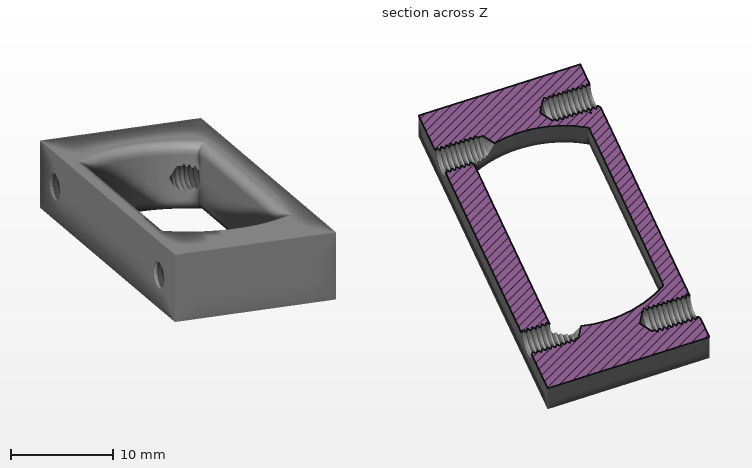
import cadquery as cq
import math

LENGTH = 35.0
WIDTH = 17.0
HEIGHT = 7.0

WINDOW_RADIUS = 12.0
WINDOW_FRONT_Y = -6.5
WINDOW_BACK_Y = 5.5
WINDOW_FILLET = 1.0

THREAD_MAJOR_RADIUS = 1.5
THREAD_MINOR_RADIUS = 2.52 / 2
THREAD_PITCH = 0.5
THREAD_ROOT_WIDTH = THREAD_PITCH / 8
THREAD_FLANK_ANGLE = 30.0
THREAD_LEAD_IN = 2 * THREAD_PITCH
THREAD_END_GAP = THREAD_PITCH / 2
THREAD_OVERLAP = 0.05
HOLE_DEPTH = 5.0
DRILL_POINT_ANGLE = 118.0
BORE_SEAM_ANGLE = -60.0
FRONT_HOLE_X = 13.5
BACK_HOLE_X = 11.65


def make_block():
    return cq.Workplane("XY").box(LENGTH, WIDTH, HEIGHT)


def cut_window(block):
    """Cut the round-ended window and round its rims on both faces."""
    side_length = WINDOW_BACK_Y - WINDOW_FRONT_Y
    side_centre = (WINDOW_BACK_Y + WINDOW_FRONT_Y) / 2
    strip = cq.Workplane("XY").box(LENGTH, side_length, HEIGHT).translate((0, side_centre, 0))
    window = cq.Workplane("XY").cylinder(HEIGHT, WINDOW_RADIUS).intersect(strip)
    frame = block.cut(window)
    inside = cq.selectors.BoxSelector(
        (-WINDOW_RADIUS - WINDOW_FILLET, WINDOW_FRONT_Y - WINDOW_FILLET, -HEIGHT),
        (WINDOW_RADIUS + WINDOW_FILLET, WINDOW_BACK_Y + WINDOW_FILLET, HEIGHT),
    )
    rims = frame.faces("|Z").edges(inside)
    return frame.newObject(rims.vals()).fillet(WINDOW_FILLET)


def make_bore():
    """Plain bore along +Z from the origin, ending in a drill point."""
    tip_length = THREAD_MINOR_RADIUS / math.tan(math.radians(DRILL_POINT_ANGLE / 2))
    outline = [
        (0, 0),
        (THREAD_MINOR_RADIUS, 0),
        (THREAD_MINOR_RADIUS, HOLE_DEPTH),
        (0, HOLE_DEPTH + tip_length),
    ]
    bore = cq.Workplane("XZ").polyline(outline).close().revolve(360, (0, 0), (0, 1))
    return bore.rotate((0, 0, 0), (0, 0, 1), BORE_SEAM_ANGLE)


def make_thread_groove():
    """Helical V-groove along +Z, running out through the mouth of the bore."""
    inner_radius = THREAD_MINOR_RADIUS - THREAD_OVERLAP
    flank_rise = (THREAD_MAJOR_RADIUS - inner_radius) * math.tan(math.radians(THREAD_FLANK_ANGLE))
    half_root = THREAD_ROOT_WIDTH / 2
    half_mouth = half_root + flank_rise
    profile = [
        (inner_radius, -half_mouth),
        (THREAD_MAJOR_RADIUS, -half_root),
        (THREAD_MAJOR_RADIUS, half_root),
        (inner_radius, half_mouth),
    ]
    helix_length = HOLE_DEPTH + THREAD_LEAD_IN - THREAD_END_GAP
    helix = cq.Wire.makeHelix(THREAD_PITCH, helix_length, inner_radius)
    groove = cq.Workplane("XZ").polyline(profile).close().sweep(cq.Workplane(helix), isFrenet=True)
    return groove.translate((0, 0, -THREAD_LEAD_IN))


def cut_threaded_holes(frame):
    """Cut a pair of threaded holes into the front (-Y) and back (+Y) sides."""
    threaded_bore = make_bore().union(make_thread_groove()).rotate((0, 0, 0), (0, 0, 1), 180)
    for hole_x, side in ((FRONT_HOLE_X, -1), (BACK_HOLE_X, 1)):
        cutter = threaded_bore.rotate((0, 0, 0), (1, 0, 0), 90 * side)
        for x in (-hole_x, hole_x):
            frame = frame.cut(cutter.translate((x, side * WIDTH / 2, 0)))
    return frame


result = cut_threaded_holes(cut_window(make_block()))